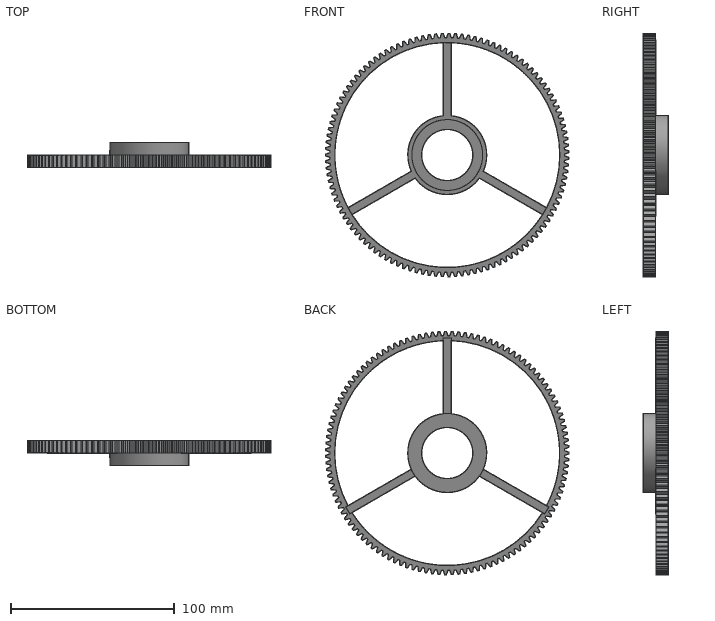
import cadquery as cq
import math


outer_diameter = 148.6
tooth_count = 115
addendum_factor = 1.0
dedendum_factor = 1.1
pressure_angle = math.radians(20)
rim_inner_diameter = 137.1
rim_width = 7.6

module = outer_diameter / (tooth_count + 2 * addendum_factor)
pitch_radius = module * tooth_count / 2
base_radius = pitch_radius * math.cos(pressure_angle)
tip_radius = outer_diameter / 2
root_radius = pitch_radius - dedendum_factor * module
flank_radii = (root_radius, pitch_radius, tip_radius)
first_tooth_angle = math.pi / tooth_count

overall_depth = 15.3
hub_front = rim_width / 2
hub_length = overall_depth - hub_front
hub_diameter = 48.3
recess_diameter = 43.2
recess_depth = 7.6
bore_diameter = 31.0

spoke_count = 3
spoke_width = 4.9
spoke_thickness = 4.0


def disc(diameter, length):
    """Cylinder along +Y from the plane Y = 0."""
    return cq.Workplane("XZ").circle(diameter / 2).extrude(-length)


def polar(radius, angle):
    return (radius * math.cos(angle), radius * math.sin(angle))


def involute(radius):
    """Involute function of the pressure angle at the given radius."""
    local_angle = math.acos(base_radius / radius)
    return math.tan(local_angle) - local_angle


def half_tooth_angle(radius):
    """Half of the angle that a tooth spans at the given radius."""
    return math.pi / (2 * tooth_count) + involute(pitch_radius) - involute(radius)


def flank(tooth_centre, side):
    """Root, pitch and tip points of one flank; side is -1 or +1."""
    return [polar(radius, tooth_centre + side * half_tooth_angle(radius)) for radius in flank_radii]


def toothed_disc():
    """Solid disc whose teeth have curved flanks, flat tips and flat roots."""
    start = flank(first_tooth_angle, -1)[0]
    profile = cq.Workplane("XZ").moveTo(*start)
    for tooth in range(tooth_count):
        centre = first_tooth_angle + math.tau * tooth / tooth_count
        rising_root, rising_pitch, rising_tip = flank(centre, -1)
        falling_root, falling_pitch, falling_tip = flank(centre, 1)
        if tooth > 0:
            profile = profile.lineTo(*rising_root)
        profile = profile.threePointArc(rising_pitch, rising_tip)
        profile = profile.lineTo(*falling_tip)
        profile = profile.threePointArc(falling_pitch, falling_root)
    return profile.close().extrude(-rim_width)


def rim():
    return toothed_disc().cut(disc(rim_inner_diameter, rim_width))


def hub():
    """Through-bored hub with a wider recess in its front face."""
    body = disc(hub_diameter, hub_length)
    body = body.cut(disc(recess_diameter, recess_depth))
    body = body.cut(disc(bore_diameter, hub_length))
    return body.translate((0, hub_front, 0))


def spoke(angle):
    """Bar turned from +Z about Y, ending inside the hub wall and the rim."""
    inner_end = (recess_diameter + hub_diameter) / 4
    outer_end = (rim_inner_diameter / 2 + root_radius) / 2
    bar = cq.Workplane("XY").box(
        spoke_width, spoke_thickness, outer_end - inner_end, centered=(True, False, False)
    )
    return bar.translate((0, hub_front, inner_end)).rotate((0, 0, 0), (0, 1, 0), angle)


result = rim().union(hub())
for index in range(spoke_count):
    result = result.union(spoke(index * 360 / spoke_count))